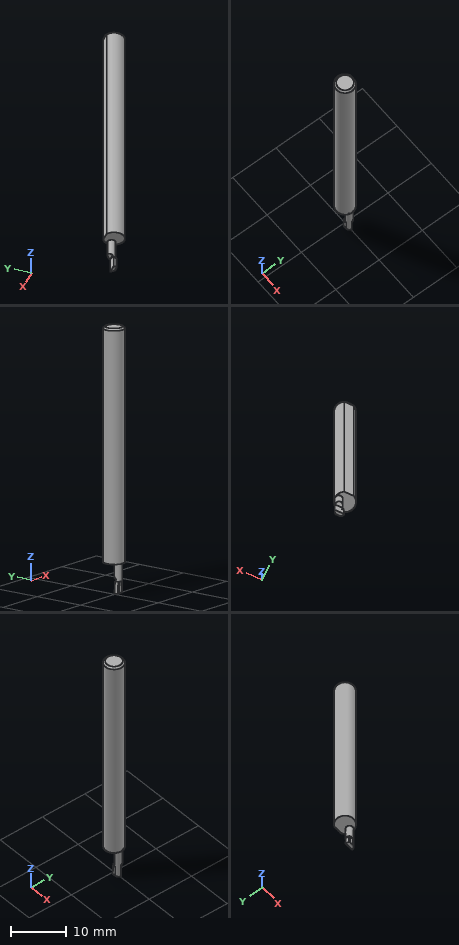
import cadquery as cq

total_length = 50.0
shank_radius = 2.0
shank_bottom = 6.0
flat_offset = 1.75
chamfer_width = 0.4
chamfer_height = 0.35

neck_radius = 0.75
neck_x = shank_radius - neck_radius

relief_start = 2.65
relief_rise = 0.5

head_height = 2.25
head_lean = 0.15
tip_x = 0.1
heel_x = 0.55
head_right = 1.3
flank_break_x = 0.3
flank_break_y = -0.6
end_tilt_x = 2.0
end_tilt_y = 7.0


def make_shank():
    length = total_length - shank_bottom
    top_radius = shank_radius - chamfer_width
    profile = (
        cq.Workplane("XZ")
        .moveTo(0, shank_bottom)
        .lineTo(shank_radius, shank_bottom)
        .lineTo(shank_radius, total_length - chamfer_height)
        .lineTo(top_radius, total_length)
        .lineTo(0, total_length)
        .close()
    )
    shank = profile.revolve(360, (0, 0, 0), (0, 1, 0))
    beyond_flat = cq.Workplane("XY").box(
        2 * shank_radius, shank_radius, length, centered=(True, False, False)
    ).translate((0, flat_offset, shank_bottom))
    return shank.cut(beyond_flat)


def make_neck():
    neck = cq.Workplane("XY").center(neck_x, 0).circle(neck_radius).extrude(shank_bottom)
    relief = (
        cq.Workplane("YZ")
        .polyline([
            (0, 0),
            (neck_radius, 0),
            (neck_radius, relief_start + relief_rise),
            (0, relief_start),
        ])
        .close()
        .extrude(2 * shank_radius)
    )
    return neck.cut(relief)


def head_outline(workplane, shift):
    """Head section with a two-faced flank from the cutting edge to the heel."""
    return workplane.polyline([
        (tip_x + shift, 0),
        (flank_break_x + shift, flank_break_y),
        (heel_x + shift, -neck_radius),
        (head_right, -neck_radius),
        (head_right, 0),
    ]).close()


def make_head():
    bottom = head_outline(cq.Workplane("XY"), 0)
    return head_outline(bottom.workplane(offset=head_height), head_lean).loft(ruled=True)


def make_end_clearance():
    size = 4 * shank_radius
    block = cq.Workplane("XY").box(size, size, size, centered=(True, True, False))
    return (
        block.translate((0, 0, -size))
        .rotate((0, 0, 0), (1, 0, 0), -end_tilt_y)
        .rotate((0, 0, 0), (0, 1, 0), -end_tilt_x)
        .translate((tip_x, 0, 0))
    )


cutter = make_neck().union(make_head()).cut(make_end_clearance())
result = make_shank().union(cutter)